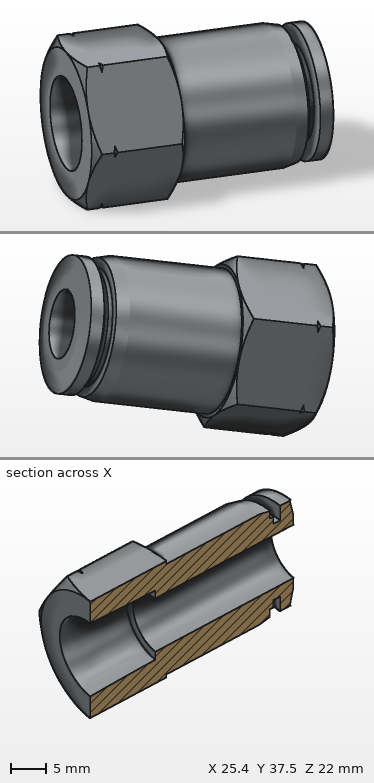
import cadquery as cq
import math

LENGTH = 37.45

HEX_FLATS = 22.0
HEX_LENGTH = 14.05
HEX_CHAMFER_ANGLE = 30.0
HEX_CORNER_RADIUS = HEX_FLATS / math.sqrt(3)

GROOVE_Y = 3.07
GROOVE_DEPTH = 0.45
GROOVE_HALF_WIDTH = 0.25

BODY_RADIUS = 10.45
BODY_TAPER_START = 31.15
BODY_END = 33.1
BODY_END_RADIUS = 10.0
STEP_RADIUS = 8.6
STEP_END = 33.78
NECK_RADIUS = 7.23
FLANGE_RADIUS = 9.95
FLANGE_START = 34.95
FLANGE_CONE_START = 36.93
FLANGE_CONE_RADIUS = 9.35
FLANGE_TOP_RADIUS = 6.93

SOCKET_MOUTH_RADIUS = 6.85
SOCKET_DEPTH = 12.0
SOCKET_END_RADIUS = SOCKET_MOUTH_RADIUS - SOCKET_DEPTH / 32
PASSAGE_RADIUS = 4.98


def revolve_profile(points):
    """Revolve a closed (radius, Y) profile around the Y axis."""
    return cq.Workplane("XY").polyline(points).close().revolve(360, (0, 0, 0), (0, 1, 0))


def make_hexagon():
    """Hexagonal prism with both ends chamfered by cones and grooved corners."""
    prism = (
        cq.Workplane("XZ")
        .polygon(6, 2 * HEX_CORNER_RADIUS)
        .extrude(-HEX_LENGTH)
    )
    face_radius = HEX_FLATS / 2
    chamfer_depth = (HEX_CORNER_RADIUS - face_radius) * math.tan(math.radians(HEX_CHAMFER_ANGLE))
    chamfer_envelope = revolve_profile([
        (0, 0),
        (face_radius, 0),
        (HEX_CORNER_RADIUS, chamfer_depth),
        (HEX_CORNER_RADIUS, HEX_LENGTH - chamfer_depth),
        (face_radius, HEX_LENGTH),
        (0, HEX_LENGTH),
    ])
    groove = revolve_profile([
        (HEX_CORNER_RADIUS - GROOVE_DEPTH, GROOVE_Y),
        (HEX_CORNER_RADIUS, GROOVE_Y - GROOVE_HALF_WIDTH),
        (HEX_CORNER_RADIUS, GROOVE_Y + GROOVE_HALF_WIDTH),
    ])
    return prism.intersect(chamfer_envelope).cut(groove)


def make_body():
    """Round body, neck and flanged release collar."""
    return revolve_profile([
        (0, 0),
        (BODY_RADIUS, 0),
        (BODY_RADIUS, BODY_TAPER_START),
        (BODY_END_RADIUS, BODY_END),
        (STEP_RADIUS, BODY_END),
        (STEP_RADIUS, STEP_END),
        (NECK_RADIUS, STEP_END),
        (NECK_RADIUS, FLANGE_START),
        (FLANGE_RADIUS, FLANGE_START),
        (FLANGE_RADIUS, FLANGE_CONE_START),
        (FLANGE_CONE_RADIUS, FLANGE_CONE_START),
        (FLANGE_TOP_RADIUS, LENGTH),
        (0, LENGTH),
    ])


def make_bore():
    """Tapered socket from the hexagon end, then a straight tube passage."""
    return revolve_profile([
        (0, 0),
        (SOCKET_MOUTH_RADIUS, 0),
        (SOCKET_END_RADIUS, SOCKET_DEPTH),
        (PASSAGE_RADIUS, SOCKET_DEPTH),
        (PASSAGE_RADIUS, LENGTH),
        (0, LENGTH),
    ])


result = make_hexagon().union(make_body()).cut(make_bore())